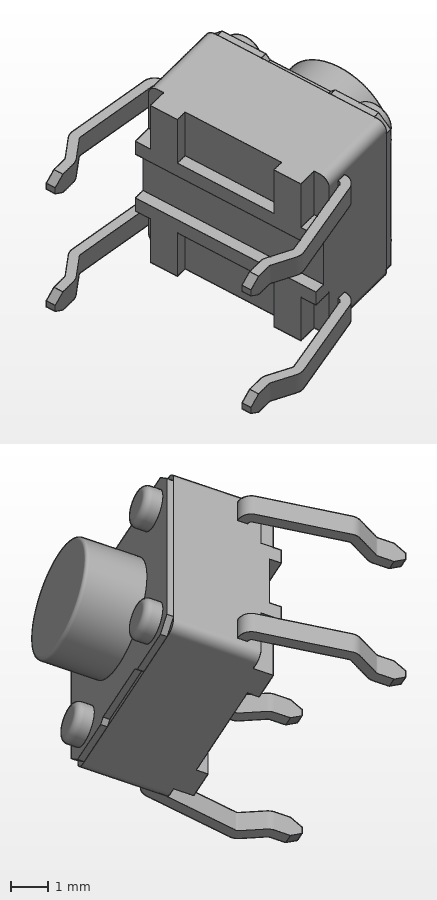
import cadquery as cq
import math


body_side = 6.0
half_side = body_side / 2
housing_height = 3.2
housing_corner_radius = 0.32

relief_depth = 0.35
channel_width = 1.67
rib_width = 0.5
pocket_width = 3.2
corner_recess_width = 0.5
corner_recess_depth = 0.6

cover_thickness = 0.2
cover_top = housing_height + cover_thickness
cover_corner_chamfer = 0.4
notch_mouth_width = 2.3
notch_depth = 0.15
notch_floor_width = notch_mouth_width - 2 * notch_depth
rivet_diameter = 1.2
rivet_height = 0.5
rivet_edge_radius = 0.2
rivet_offset = 2.15

button_diameter = 3.5
button_height = 1.8
button_edge_radius = 0.1

leg_width = 0.7
leg_thickness = 0.3
leg_bend_radius = 0.25
leg_offset_z = 2.25
leg_root_y = 1.15
leg_shoulder_x = 3.23
leg_elbow_x = 3.71
leg_elbow_y = -1.81
leg_tip_x = 3.25
leg_tip_y = -3.5
leg_ankle_angle = 30.0
leg_ankle_drop = (leg_elbow_x - leg_tip_x) / math.tan(math.radians(leg_ankle_angle))
leg_tip_width = leg_width / 3
leg_taper_length = 0.35


def box_between(x_range, y_range, z_range):
    """Box spanning the given (low, high) range along each axis."""
    lengths = [high - low for low, high in (x_range, y_range, z_range)]
    corner = (x_range[0], y_range[0], z_range[0])
    return cq.Workplane("XY").box(*lengths, centered=False).translate(corner)


def upright_cylinder(x, z, base_y, diameter, height, edge_radius):
    """Cylinder standing along +Y with a rounded top edge."""
    return (
        cq.Workplane("XZ", origin=(x, base_y, z))
        .circle(diameter / 2)
        .extrude(-height)
        .faces(">Y")
        .edges()
        .fillet(edge_radius)
    )


def make_housing():
    """Rounded block whose underside has a channel, two pockets and four corner recesses."""
    block = (
        cq.Workplane("XZ")
        .rect(body_side, body_side)
        .extrude(-housing_height)
        .edges("|Y")
        .fillet(housing_corner_radius)
    )
    channel = box_between(
        (-half_side, half_side), (0, relief_depth), (-channel_width / 2, channel_width / 2)
    )
    block = block.cut(channel)

    relief_start = channel_width / 2 + rib_width
    recess_start = half_side - corner_recess_width
    for z_range in ((relief_start, half_side), (-half_side, -relief_start)):
        pocket = box_between((-pocket_width / 2, pocket_width / 2), (0, relief_depth), z_range)
        block = block.cut(pocket)
        for x_range in ((recess_start, half_side), (-half_side, -recess_start)):
            block = block.cut(box_between(x_range, (0, corner_recess_depth), z_range))
    return block


def make_cover():
    """Plate with chamfered corners, a notch in the +Z and -Z edges, and four rivet heads."""
    plate = (
        cq.Workplane("XZ", origin=(0, housing_height, 0))
        .rect(body_side, body_side)
        .extrude(-cover_thickness)
        .edges("|Y")
        .chamfer(cover_corner_chamfer)
    )
    for side in (1, -1):
        edge_z = side * half_side
        floor_z = side * (half_side - notch_depth)
        notch = (
            cq.Workplane("XZ", origin=(0, housing_height, 0))
            .moveTo(-notch_mouth_width / 2, edge_z)
            .lineTo(-notch_floor_width / 2, floor_z)
            .lineTo(notch_floor_width / 2, floor_z)
            .lineTo(notch_mouth_width / 2, edge_z)
            .close()
            .extrude(-cover_thickness)
        )
        plate = plate.cut(notch)
    for x in (-rivet_offset, rivet_offset):
        for z in (-rivet_offset, rivet_offset):
            rivet = upright_cylinder(
                x, z, cover_top, rivet_diameter, rivet_height, rivet_edge_radius
            )
            plate = plate.union(rivet)
    return plate


def make_button():
    """Round button standing on the cover."""
    return upright_cylinder(0, 0, cover_top, button_diameter, button_height, button_edge_radius)


def make_leg(side, z):
    """Bent strip that leaves the housing side at X = side * half_side, with a tapered tip."""
    bend_points = [
        (half_side, leg_root_y),
        (leg_shoulder_x, leg_root_y),
        (leg_elbow_x, leg_elbow_y),
        (leg_tip_x, leg_elbow_y - leg_ankle_drop),
        (leg_tip_x, leg_tip_y),
    ]
    sharp_path = cq.Wire.makePolygon([cq.Vector(side * x, y, z) for x, y in bend_points])
    path = sharp_path.fillet(leg_bend_radius)
    strip = (
        cq.Workplane("YZ", origin=(side * half_side, leg_root_y, z))
        .rect(leg_thickness, leg_width)
        .sweep(cq.Workplane(path))
    )
    taper_width = (leg_width - leg_tip_width) / 2
    return (
        strip.faces("<Y")
        .edges("|X")
        .chamfer(leg_taper_length, taper_width)
    )


housing = make_housing()
cover = make_cover()
button = make_button()
legs = []
for leg_side in (-1, 1):
    for leg_z in (-leg_offset_z, leg_offset_z):
        legs.append(make_leg(leg_side, leg_z).val())

result = cq.Compound.makeCompound([housing.val(), cover.val(), button.val(), *legs])